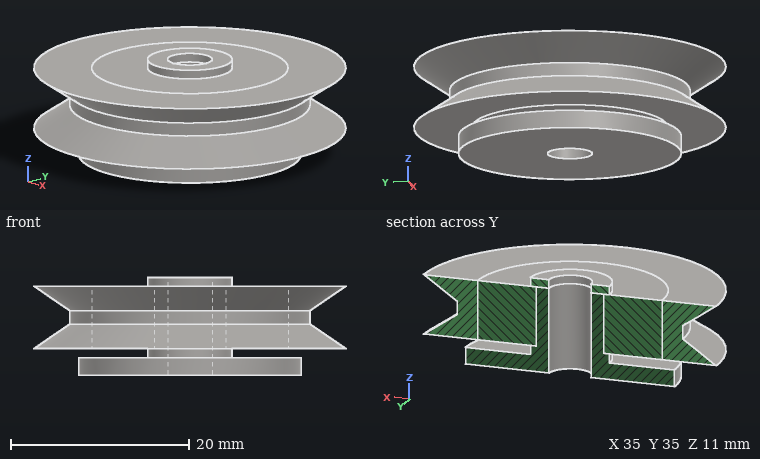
import cadquery as cq

total_height = 11.0
bore_diameter = 5.0

wheel_diameter = 35.0
wheel_width = 7.0
groove_diameter = 27.0
groove_floor_width = 1.5

bearing_outer_diameter = 22.0
bearing_bore_diameter = 8.0

base_diameter = 25.0
base_thickness = 2.0
spacer_diameter = 9.5

spacer_thickness = (total_height - base_thickness - wheel_width) / 2

wheel_bottom = base_thickness + spacer_thickness
wheel_top = wheel_bottom + wheel_width


def ring(outer_diameter, inner_diameter, bottom, height):
    """Flat ring about the Z axis."""
    return (
        cq.Workplane("XY")
        .workplane(offset=bottom)
        .circle(outer_diameter / 2)
        .circle(inner_diameter / 2)
        .extrude(height)
    )


def make_pulley():
    """V-grooved wheel with sharp rims, bored to hold the bearing."""
    inner_radius = bearing_outer_diameter / 2
    rim_radius = wheel_diameter / 2
    groove_radius = groove_diameter / 2
    groove_bottom = wheel_bottom + (wheel_width - groove_floor_width) / 2
    groove_top = groove_bottom + groove_floor_width
    profile = [
        (inner_radius, wheel_bottom),
        (rim_radius, wheel_bottom),
        (groove_radius, groove_bottom),
        (groove_radius, groove_top),
        (rim_radius, wheel_top),
        (inner_radius, wheel_top),
    ]
    return cq.Workplane("XZ").polyline(profile).close().revolve(360, (0, 0), (0, 1))


def make_bearing():
    """Plain bearing ring, flush with both faces of the pulley."""
    return ring(bearing_outer_diameter, bearing_bore_diameter, wheel_bottom, wheel_width)


def make_bushing():
    """Wide base, a shoulder under the bearing and a sleeve through it."""
    base = ring(base_diameter, bore_diameter, 0, base_thickness)
    shoulder = ring(spacer_diameter, bore_diameter, base_thickness, spacer_thickness)
    sleeve = ring(bearing_bore_diameter, bore_diameter, wheel_bottom, wheel_width)
    return base.union(shoulder).union(sleeve)


def make_washer():
    """Washer resting on the bearing and the end of the sleeve."""
    return ring(spacer_diameter, bore_diameter, wheel_top, spacer_thickness)


pulley = make_pulley()
bearing = make_bearing()
bushing = make_bushing()
washer = make_washer()

result = cq.Compound.makeCompound(
    [pulley.val(), bearing.val(), bushing.val(), washer.val()]
)